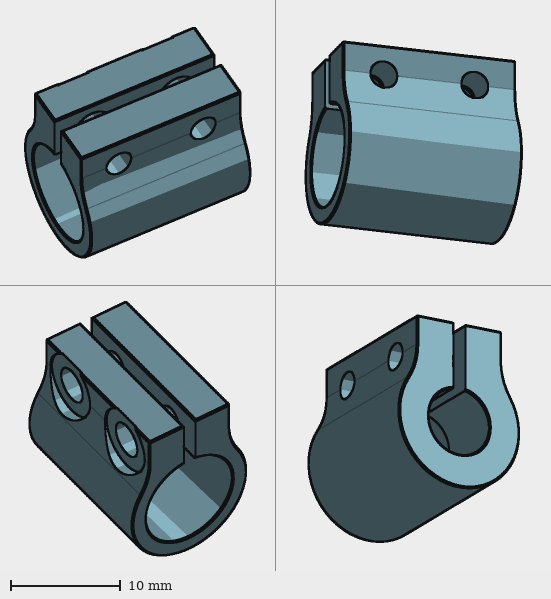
import cadquery as cq
import math

sleeve_radius = 6.35
length = 16.57
total_height = 15.85
block_half_width = 4.445
blend_radius = 6.35
edge_chamfer = 0.127

large_bore_radius = 4.7625
small_bore_radius = 3.175
large_bore_depth = length / 2
drill_point_half_angle = 59

slit_width = 1.27

screw_spacing = 8.73
screw_axis_drop = 2.82
head_seat_diameter = 6.35
head_seat_x = -4.26
clearance_diameter = 3.43
tapped_diameter = 2.57

top_z = total_height - sleeve_radius
front_y = -length / 2
back_y = length / 2
screw_z = top_z - screw_axis_drop
screw_positions_y = (-screw_spacing / 2, screw_spacing / 2)


def make_body():
    """Sleeve and block outline, blended by concave arcs, with broken outer edges."""
    centre_distance = sleeve_radius + blend_radius
    blend_x = block_half_width + blend_radius
    blend_z = math.sqrt(centre_distance**2 - blend_x**2)
    blend_angle = math.atan2(blend_z, blend_x)
    tangent_x = sleeve_radius * math.cos(blend_angle)
    tangent_z = sleeve_radius * math.sin(blend_angle)
    mid_x = blend_x - blend_radius * math.cos(blend_angle / 2)
    mid_z = blend_z - blend_radius * math.sin(blend_angle / 2)
    body = (
        cq.Workplane("XZ", origin=(0, back_y, 0))
        .moveTo(-block_half_width, top_z)
        .lineTo(block_half_width, top_z)
        .lineTo(block_half_width, blend_z)
        .threePointArc((mid_x, mid_z), (tangent_x, tangent_z))
        .threePointArc((0, -sleeve_radius), (-tangent_x, tangent_z))
        .threePointArc((-mid_x, mid_z), (-block_half_width, blend_z))
        .close()
        .extrude(length)
    )
    return body.faces("<Y or >Y or >Z").edges().chamfer(edge_chamfer)


def make_bore():
    """Large bore from the front, conical drill point, small bore out of the back."""
    cone_length = (large_bore_radius - small_bore_radius) / math.tan(math.radians(drill_point_half_angle))
    large_bore_end = front_y + large_bore_depth
    return (
        cq.Workplane("XY")
        .moveTo(0, front_y)
        .lineTo(large_bore_radius + edge_chamfer, front_y)
        .lineTo(large_bore_radius, front_y + edge_chamfer)
        .lineTo(large_bore_radius, large_bore_end)
        .lineTo(small_bore_radius, large_bore_end + cone_length)
        .lineTo(small_bore_radius, back_y - edge_chamfer)
        .lineTo(small_bore_radius + edge_chamfer, back_y)
        .lineTo(0, back_y)
        .close()
        .revolve(360, (0, 0, 0), (0, 1, 0))
    )


def make_slit():
    """Slit from the bore to the top, flared by a chamfer at the top face."""
    half_width = slit_width / 2
    return (
        cq.Workplane("XZ", origin=(0, back_y, 0))
        .moveTo(-half_width, 0)
        .lineTo(half_width, 0)
        .lineTo(half_width, top_z - edge_chamfer)
        .lineTo(half_width + edge_chamfer, top_z)
        .lineTo(-half_width - edge_chamfer, top_z)
        .lineTo(-half_width, top_z - edge_chamfer)
        .close()
        .extrude(length)
    )


def make_screw_hole(y):
    """Head seat and clearance hole in the left leg, tapping hole in the right leg."""

    def cylinder(diameter, start_x, end_x):
        return (
            cq.Workplane("YZ", origin=(start_x, y, screw_z))
            .circle(diameter / 2)
            .extrude(end_x - start_x)
        )

    head_seat = cylinder(head_seat_diameter, -sleeve_radius, head_seat_x)
    clearance_hole = cylinder(clearance_diameter, head_seat_x, 0)
    tapping_hole = cylinder(tapped_diameter, 0, sleeve_radius)
    return head_seat.union(clearance_hole).union(tapping_hole)


result = make_body().cut(make_bore()).cut(make_slit())
for screw_y in screw_positions_y:
    result = result.cut(make_screw_hole(screw_y))